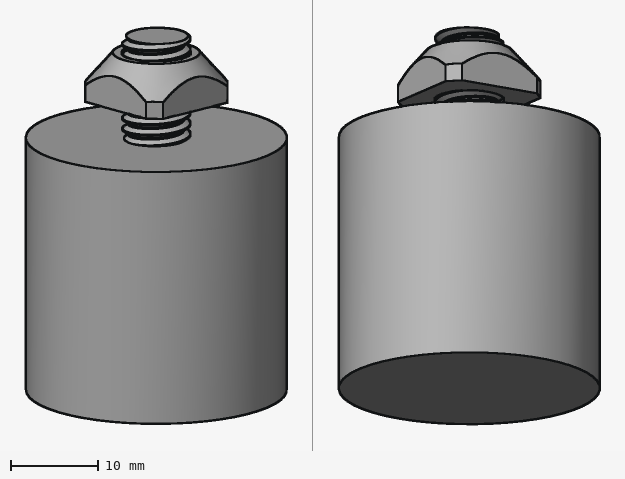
import cadquery as cq

total_height = 42.0
base_diameter = 30.0
base_height = 30.0

thread_crest_diameter = 7.85
thread_root_diameter = 6.43
thread_pitch = 1.25
crest_width = 0.13
ridge_base_width = 1.1
ridge_embed = 0.1
lead_in_turns = 2
first_crest_height = 0.25

nut_width = 12.95
nut_height = 5.65
nut_bottom = 34.45
nut_corner_chamfer = 1.4
nut_top_diameter = 10.0
nut_bore_diameter = 8.0
nut_cone_base_diameter = 19.9

base_radius = base_diameter / 2
crest_radius = thread_crest_diameter / 2
root_radius = thread_root_diameter / 2
stud_height = total_height - base_height
nut_top_radius = nut_top_diameter / 2
cone_base_radius = nut_cone_base_diameter / 2


def make_thread_ridge():
    """Right-handed helical ridge, cut flat at the base top and the stud end."""
    start = base_height + first_crest_height - lead_in_turns * thread_pitch
    length = stud_height + 2 * lead_in_turns * thread_pitch
    inner_radius = root_radius - ridge_embed
    flank_run = (ridge_base_width - crest_width) / 2
    flank_rise = crest_radius - root_radius
    half_crest = crest_width / 2
    half_inner = half_crest + flank_run * (flank_rise + ridge_embed) / flank_rise
    helix = cq.Wire.makeHelix(thread_pitch, length, root_radius)
    ridge = (
        cq.Workplane("XZ")
        .polyline([
            (inner_radius, -half_inner),
            (crest_radius, -half_crest),
            (crest_radius, half_crest),
            (inner_radius, half_inner),
        ])
        .close()
        .sweep(cq.Workplane(obj=helix), isFrenet=True)
        .translate((0, 0, start))
    )
    stud_range = cq.Workplane("XY", origin=(0, 0, base_height)).circle(base_radius).extrude(stud_height)
    return ridge.intersect(stud_range)


def make_threaded_base():
    """Cylindrical base with a threaded stud standing on its top face."""
    base = cq.Workplane("XY").circle(base_radius).extrude(base_height)
    core = base.faces(">Z").workplane().circle(root_radius).extrude(stud_height)
    return core.union(make_thread_ridge())


def make_nut():
    """Square nut with chamfered corners and a conical top, bored to clear the thread."""
    block = (
        cq.Workplane("XY")
        .rect(nut_width, nut_width)
        .extrude(nut_height)
        .edges("|Z")
        .chamfer(nut_corner_chamfer)
    )
    cone = (
        cq.Workplane("XZ")
        .polyline([(0, 0), (cone_base_radius, 0), (nut_top_radius, nut_height), (0, nut_height)])
        .close()
        .revolve(360, (0, 0, 0), (0, 1, 0))
    )
    bore = cq.Workplane("XY").circle(nut_bore_diameter / 2).extrude(nut_height)
    return block.intersect(cone).cut(bore).translate((0, 0, nut_bottom))


threaded_base = make_threaded_base()
nut = make_nut()
result = cq.Compound.makeCompound([threaded_base.val(), nut.val()])